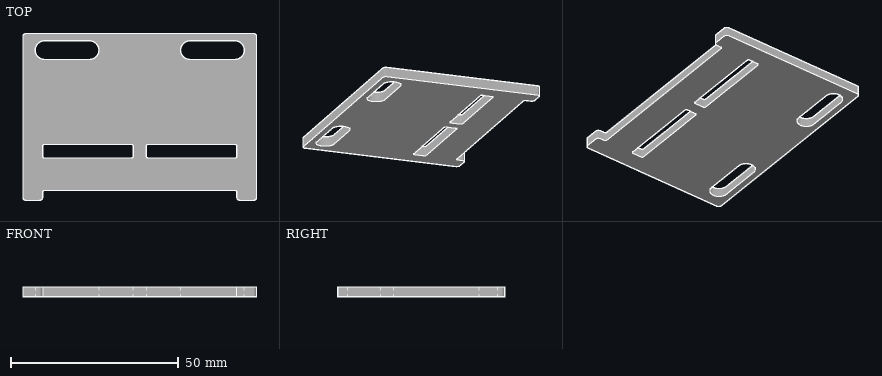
import cadquery as cq

plate_width = 70.0
plate_depth = 50.0
plate_thickness = 3.0
corner_radius = 1.0

foot_width = 6.0
notch_depth = 3.0
notch_width = plate_width - 2 * foot_width
inner_radius = 0.5

window_gap = 4.0
window_length = (notch_width - window_gap) / 2
window_width = 4.0
window_edge_offset = 12.75
window_x = (window_gap + window_length) / 2
window_y = -plate_depth / 2 + window_edge_offset + window_width / 2

slot_width = 5.5
slot_center_travel = 13.5
slot_side_offset = 6.5
slot_edge_offset = 5.0
slot_length = slot_center_travel + slot_width
slot_x = plate_width / 2 - slot_side_offset - slot_center_travel / 2
slot_y = plate_depth / 2 - slot_edge_offset


def make_plate():
    """Flat plate with a notched -Y edge and rounded corners."""
    half_width = plate_width / 2
    half_depth = plate_depth / 2
    half_notch = notch_width / 2
    notch_y = -half_depth + notch_depth
    outline = [
        (-half_width, -half_depth),
        (-half_notch, -half_depth),
        (-half_notch, notch_y),
        (half_notch, notch_y),
        (half_notch, -half_depth),
        (half_width, -half_depth),
        (half_width, half_depth),
        (-half_width, half_depth),
    ]
    plate = cq.Workplane("XY").polyline(outline).close().extrude(plate_thickness)
    outer_corners = "|Z and (<Y or >Y)"
    inner_corners = cq.selectors.BoxSelector(
        (-half_notch - inner_radius, notch_y - inner_radius, 0),
        (half_notch + inner_radius, notch_y + inner_radius, plate_thickness),
    )
    plate = plate.edges("|Z").edges(inner_corners).fillet(inner_radius)
    return plate.edges(outer_corners).fillet(corner_radius)


def make_windows():
    """Cutters for the pair of rectangular windows."""
    return (
        cq.Workplane("XY")
        .pushPoints([(-window_x, window_y), (window_x, window_y)])
        .rect(window_length, window_width)
        .extrude(plate_thickness)
        .edges("|Z")
        .fillet(inner_radius)
    )


def make_slots():
    """Cutters for the pair of round-ended slots."""
    return (
        cq.Workplane("XY")
        .pushPoints([(-slot_x, slot_y), (slot_x, slot_y)])
        .slot2D(slot_length, slot_width)
        .extrude(plate_thickness)
    )


result = make_plate().cut(make_windows()).cut(make_slots())